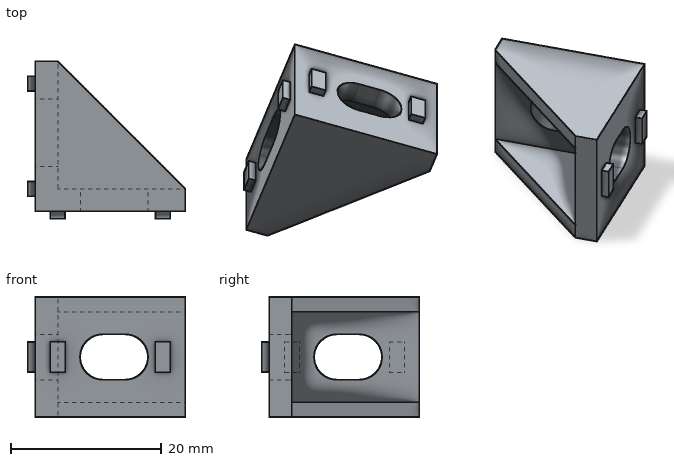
import cadquery as cq

leg_length = 20.0
height = 16.0
wall_thickness = 3.0
cheek_thickness = 2.0

slot_length = 9.0
slot_width = 6.0
slot_center = 10.5

tab_width = 2.0
tab_height = 4.0
tab_projection = 1.0
tab_centers = (3.0, 17.0)

mid_height = height / 2


def make_body():
    """Right-angled triangular prism with blunt ends on both legs."""
    outline = [
        (0, 0),
        (leg_length, 0),
        (leg_length, wall_thickness),
        (wall_thickness, leg_length),
        (0, leg_length),
    ]
    return cq.Workplane("XY").polyline(outline).close().extrude(height)


def make_pocket():
    """Space between the walls and cheeks, open through the sloping side."""
    pocket_height = height - 2 * cheek_thickness
    corner = (wall_thickness, wall_thickness, cheek_thickness)
    return cq.Workplane("XY").box(leg_length, leg_length, pocket_height, centered=False).translate(corner)


def make_slot():
    """Cutter for the rounded slot through the wall on the Y = 0 plane."""
    return (
        cq.Workplane("XZ")
        .center(slot_center, mid_height)
        .slot2D(slot_length, slot_width)
        .extrude(-wall_thickness)
    )


def make_tabs():
    """Locating tabs standing out from the wall on the Y = 0 plane."""
    return (
        cq.Workplane("XZ")
        .pushPoints([(center, mid_height) for center in tab_centers])
        .rect(tab_width, tab_height)
        .extrude(tab_projection)
    )


def on_other_leg(shape):
    """Mirror a feature of the X leg across the plane X = Y onto the Y leg."""
    return shape.mirror("YZ").rotate((0, 0, 0), (0, 0, 1), -90)


result = make_body().cut(make_pocket())

slot = make_slot()
result = result.cut(slot).cut(on_other_leg(slot))

tabs = make_tabs()
result = result.union(tabs).union(on_other_leg(tabs))